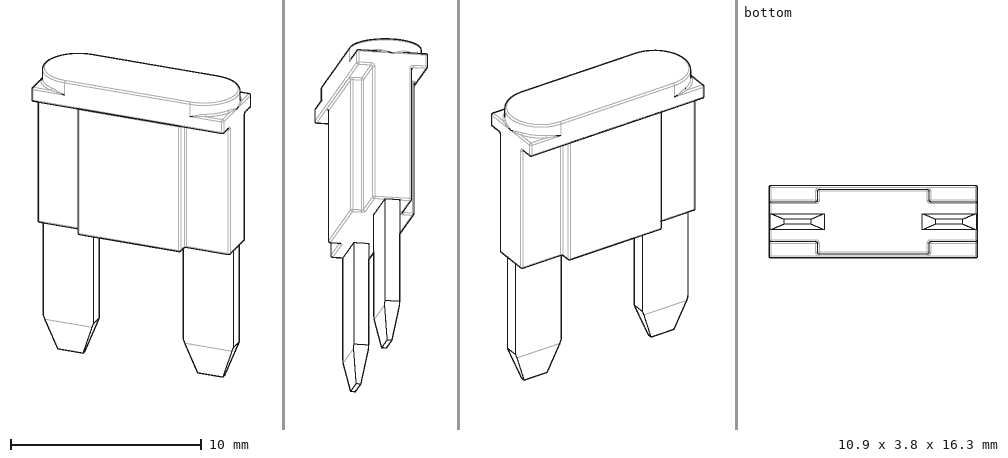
import cadquery as cq

height = 16.3
width = 10.9
depth = 3.8

flange_bottom = 14.8
flange_top = 15.6

housing_bottom = 7.5
center_width = 5.84
center_depth = 3.39
end_depth = 2.09

blade_width = 2.85
blade_thickness = 0.8
blade_outer_x = 5.4
blade_side_taper = 1.94
blade_face_taper = 1.71
tip_width = 1.43
tip_thickness = 0.26

edge_radius = 0.1

seam_tolerance = 0.02

blade_center_x = blade_outer_x - blade_width / 2


def make_box(x_size, y_size, z_low, z_high):
    """Box centered on the Z axis between two heights."""
    return cq.Workplane("XY").workplane(offset=z_low).rect(x_size, y_size).extrude(z_high - z_low)


def make_molded_body():
    """Cross-shaped housing and overhanging flange, with every edge and inside corner rounded."""
    end_blocks = make_box(width, end_depth, housing_bottom, flange_bottom)
    center_block = make_box(center_width, center_depth, housing_bottom, flange_bottom)
    flange = make_box(width, depth, flange_bottom, flange_top)
    return end_blocks.union(center_block).union(flange).edges().fillet(edge_radius)


def make_cap():
    """Round-ended cap, as long and as deep as the flange."""
    cap = (
        cq.Workplane("XY")
        .workplane(offset=flange_bottom + edge_radius)
        .slot2D(width, depth)
        .extrude(height - flange_bottom - edge_radius)
    )
    return cap.faces(">Z").edges().fillet(edge_radius)


def round_cap_seam(body):
    """Blend the cap ends into the four exposed flange corners."""
    seam_band = cq.selectors.BoxSelector(
        (-width, -depth, flange_top - seam_tolerance),
        (width, depth, flange_top + seam_tolerance),
    )
    return body.edges("%CIRCLE").edges(seam_band).fillet(edge_radius)


def make_blade_profile(plane, full, tip, taper):
    """Outline of a blade, symmetric about its own axis and narrowing to the tip."""
    return (
        cq.Workplane(plane)
        .moveTo(-tip / 2, 0)
        .lineTo(tip / 2, 0)
        .lineTo(full / 2, taper)
        .lineTo(full / 2, housing_bottom + edge_radius)
        .lineTo(-full / 2, housing_bottom + edge_radius)
        .lineTo(-full / 2, taper)
        .close()
    )


def make_blade():
    """Blade tapered on its sides and on its faces."""
    broad = make_blade_profile("XZ", blade_width, tip_width, blade_side_taper)
    narrow = make_blade_profile("YZ", blade_thickness, tip_thickness, blade_face_taper)
    broad_solid = broad.extrude(blade_thickness / 2, both=True)
    narrow_solid = narrow.extrude(blade_width / 2, both=True)
    return broad_solid.intersect(narrow_solid)


result = round_cap_seam(make_molded_body().union(make_cap()))
for side in (-1, 1):
    result = result.union(make_blade().translate((side * blade_center_x, 0, 0)))